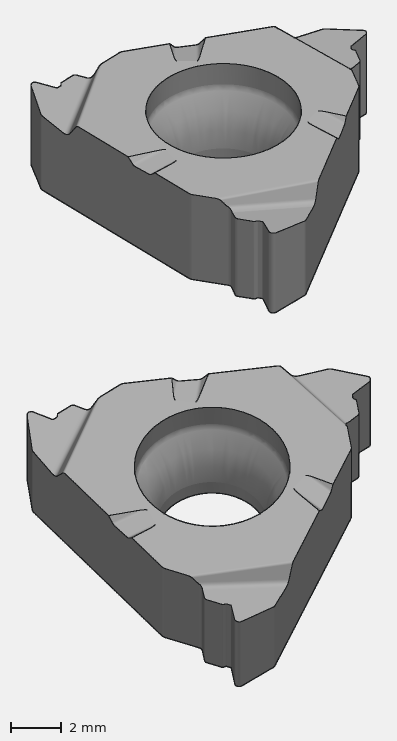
import cadquery as cq
import math

CORNERS = 3
HEIGHT = 4.22

FLANK_ANGLE = math.radians(59)
SIDE_DISTANCE = 4.77
HEEL_Y = 5.4
TIP_X = -3.78
ROOT_Y = 6.07
ROOT_WIDTH = 0.2
LEDGE_Y = 6.18
LEDGE_END_X = -2.13
SHOULDER_Y = 5.58

SIDE_RADIUS = 0.27
TIP_RADIUS = 0.18
ROOT_RADIUS = 0.05
LEDGE_RADIUS = 0.16
SHOULDER_RADIUS = 0.18

BORE_RADIUS = 4.4 / 2
COUNTERBORE_RADIUS = 3.07
COUNTERBORE_DEPTH = 1.18
SEAT_END_DEPTH = 3.56
SEAT_FOOT_RADIUS = 0.38

POCKET_DISTANCE = 5.76
POCKET_DEPTH = 0.59
POCKET_YAW = -1.3
POCKET_TILT = -5.5
FLOOR_RISE = math.radians(8.8)
WALL_ANGLE = math.radians(60)
POCKET_FOOT_RADIUS = 0.32
POCKET_RIM_RADIUS = 0.15
POCKET_REACH = 4.11

NOTCH_Y = -0.2
NOTCH_DEPTH = 0.26
NOTCH_LENGTH = 1.33
NOTCH_YAW = -15
NOTCH_FLOOR_WIDTH = 0.9
NOTCH_FOOT_RADIUS = 0.2
NOTCH_OVERRUN = 0.69


def turned(point, step):
    """Plan point turned about the hole axis by a number of corner steps."""
    angle = -2 * math.pi * step / CORNERS
    x, y = point
    return (
        x * math.cos(angle) - y * math.sin(angle),
        x * math.sin(angle) + y * math.cos(angle),
    )


def corner_outline():
    """Vertices of one corner with their rounding radii, clockwise from the long side."""
    slope = math.tan(FLANK_ANGLE)
    apex_y = HEEL_Y + (TIP_X + SIDE_DISTANCE) * slope
    root_x = TIP_X + (apex_y - ROOT_Y) / slope
    root_end_x = root_x + ROOT_WIDTH
    ledge_x = root_end_x + LEDGE_Y - ROOT_Y
    corner_angle = 2 * math.pi / CORNERS
    shoulder_end_x = (SHOULDER_Y * math.sin(corner_angle) - SIDE_DISTANCE) / math.cos(corner_angle)
    shoulder_x = LEDGE_END_X + (LEDGE_Y - SHOULDER_Y) / slope
    return [
        ((-SIDE_DISTANCE, HEEL_Y), SIDE_RADIUS),
        ((TIP_X, apex_y), TIP_RADIUS),
        ((root_x, ROOT_Y), ROOT_RADIUS),
        ((root_end_x, ROOT_Y), ROOT_RADIUS),
        ((ledge_x, LEDGE_Y), ROOT_RADIUS),
        ((LEDGE_END_X, LEDGE_Y), LEDGE_RADIUS),
        ((shoulder_x, SHOULDER_Y), SHOULDER_RADIUS),
        ((shoulder_end_x, SHOULDER_Y), SIDE_RADIUS),
    ]


def make_body():
    corner = corner_outline()
    outline = [turned(point, step) for step in range(CORNERS) for point, _ in corner]
    body = cq.Workplane("XY").polyline(outline).close().extrude(HEIGHT)
    for point, radius in corner:
        for step in range(CORNERS):
            x, y = turned(point, step)
            edge = cq.selectors.NearestToPointSelector((x, y, HEIGHT / 2))
            body = body.edges("|Z").edges(edge).fillet(radius)
    return body


def make_hole():
    """Revolved cutter for the counterbore, its curved seat and the bore."""
    seat_rise = SEAT_END_DEPTH - COUNTERBORE_DEPTH
    seat_run = COUNTERBORE_RADIUS - BORE_RADIUS
    seat_radius = (seat_rise**2 + seat_run**2) / (2 * seat_run)
    half_sweep = math.asin(seat_rise / seat_radius) / 2
    seat_end_z = HEIGHT - SEAT_END_DEPTH
    seat_start_z = HEIGHT - COUNTERBORE_DEPTH
    seat_middle = (
        BORE_RADIUS + seat_radius * (1 - math.cos(half_sweep)),
        seat_end_z + seat_radius * math.sin(half_sweep),
    )
    return (
        cq.Workplane("XZ")
        .lineTo(BORE_RADIUS, 0)
        .lineTo(BORE_RADIUS, seat_end_z)
        .threePointArc(seat_middle, (COUNTERBORE_RADIUS, seat_start_z))
        .lineTo(COUNTERBORE_RADIUS, HEIGHT)
        .lineTo(0, HEIGHT)
        .close()
        .revolve(360, (0, 0), (0, 1))
        .edges("%CIRCLE")
        .edges(cq.selectors.NearestToPointSelector((0, 0, seat_start_z)))
        .fillet(SEAT_FOOT_RADIUS)
    )


def make_pocket():
    """Cutter for the chip pocket of the corner that points along +X."""
    wall_run = POCKET_REACH / math.tan(WALL_ANGLE)
    profile = [
        (0, 0),
        (POCKET_REACH, POCKET_REACH * math.tan(FLOOR_RISE)),
        (POCKET_REACH, POCKET_REACH),
        (-wall_run, POCKET_REACH),
    ]
    return (
        cq.Workplane("XZ")
        .polyline(profile)
        .close()
        .extrude(POCKET_REACH, both=True)
        .edges(cq.selectors.NearestToPointSelector((0, 0, 0)))
        .fillet(POCKET_FOOT_RADIUS)
        .rotate((0, 0, 0), (1, 0, 0), POCKET_TILT)
        .rotate((0, 0, 0), (0, 0, 1), POCKET_YAW)
        .translate((POCKET_DISTANCE, 0, HEIGHT - POCKET_DEPTH))
    )


def make_notch():
    """Cutter for the notch in the -X side: its floor climbs until it meets the top face."""
    half_floor = NOTCH_FLOOR_WIDTH / 2
    cutter_height = 2 * NOTCH_DEPTH
    half_top = half_floor + cutter_height
    climb = math.degrees(math.atan2(NOTCH_DEPTH, NOTCH_LENGTH))
    profile = [
        (-half_floor, 0),
        (half_floor, 0),
        (half_top, cutter_height),
        (-half_top, cutter_height),
    ]
    return (
        cq.Workplane("YZ", origin=(-NOTCH_OVERRUN, 0, 0))
        .polyline(profile)
        .close()
        .extrude(NOTCH_OVERRUN + 2 * NOTCH_LENGTH)
        .edges("|X and <Z")
        .fillet(NOTCH_FOOT_RADIUS)
        .rotate((0, 0, 0), (0, 1, 0), -climb)
        .rotate((0, 0, 0), (0, 0, 1), NOTCH_YAW)
        .translate((-SIDE_DISTANCE, NOTCH_Y, HEIGHT - NOTCH_DEPTH))
    )


def cut_at_each_corner(body, cutter):
    for step in range(CORNERS):
        body = body.cut(cutter.rotate((0, 0, 0), (0, 0, 1), step * 360 / CORNERS))
    return body


def round_pocket_rims(body):
    """Round the edge between the top face and each pocket wall."""
    rim_distance = POCKET_DISTANCE - POCKET_DEPTH / math.tan(WALL_ANGLE)
    for step in range(CORNERS):
        x, y = turned((rim_distance, 0), step)
        rim = cq.selectors.NearestToPointSelector((x, y, HEIGHT))
        body = body.faces(">Z").edges(rim).fillet(POCKET_RIM_RADIUS)
    return body


body = make_body()
body = cut_at_each_corner(body, make_pocket())
body = round_pocket_rims(body)
body = cut_at_each_corner(body, make_notch())
result = body.cut(make_hole())